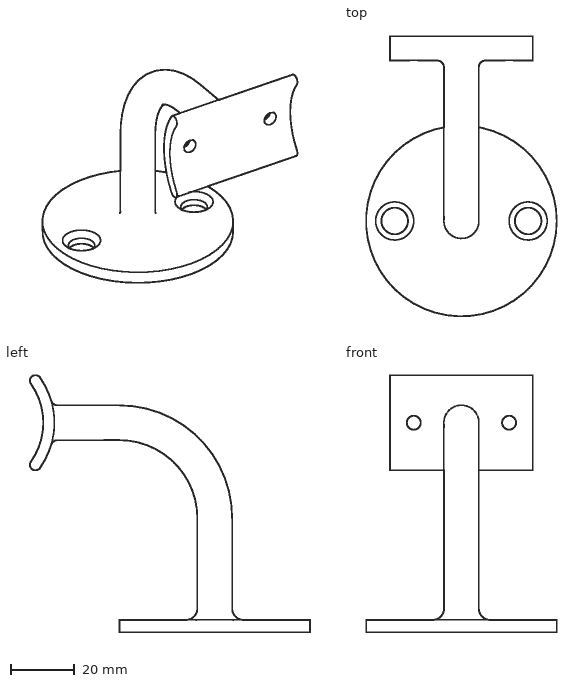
import cadquery as cq
import math

overall_depth = 88.2
overall_height = 80.9

plate_diameter = 60.0
plate_thickness = 4.0
screw_hole_diameter = 8.3
countersink_diameter = 12.0
countersink_angle = 90
screw_hole_spacing = 42.0

rod_diameter = 11.0
bend_radius = 30.0
base_fillet = 3.5
saddle_fillet = 2.0

saddle_length = 45.0
saddle_height = 30.0
saddle_thickness = 3.5
saddle_inner_radius = 21.2
saddle_hole_diameter = 4.3
saddle_hole_spacing = 30.0

saddle_z = overall_height - saddle_height / 2
saddle_tip_y = overall_depth - plate_diameter / 2
edge_radius = saddle_thickness / 2
middle_radius = saddle_inner_radius + edge_radius
saddle_outer_radius = saddle_inner_radius + saddle_thickness
half_chord = saddle_height / 2 - edge_radius
half_angle = math.asin(half_chord / middle_radius)
saddle_axis_y = saddle_tip_y - edge_radius + middle_radius * math.cos(half_angle)


def make_plate():
    return cq.Workplane("XY").circle(plate_diameter / 2).extrude(plate_thickness)


def make_rod():
    """Rod swept up from the plate, round the bend and into the saddle wall."""
    rod_end_y = saddle_axis_y - middle_radius
    bend_start_z = saddle_z - bend_radius
    bend_middle = (
        bend_radius * (1 - math.cos(math.pi / 4)),
        bend_start_z + bend_radius * math.sin(math.pi / 4),
    )
    path = (
        cq.Workplane("YZ")
        .moveTo(0, plate_thickness / 2)
        .lineTo(0, bend_start_z)
        .threePointArc(bend_middle, (bend_radius, saddle_z))
        .lineTo(rod_end_y, saddle_z)
    )
    profile = cq.Workplane("XY", origin=(0, 0, plate_thickness / 2)).circle(rod_diameter / 2)
    return profile.sweep(path)


def saddle_point(radius, angle):
    """Point in the YZ plane, at an angle from the -Y direction about the saddle axis."""
    return (saddle_axis_y - radius * math.cos(angle), saddle_z + radius * math.sin(angle))


def make_saddle():
    """Arc-shaped strip with rounded long edges, centred on X = 0."""
    tip_distance = math.hypot(middle_radius, edge_radius)
    tip_angle = half_angle + math.atan(edge_radius / middle_radius)
    return (
        cq.Workplane("YZ")
        .moveTo(*saddle_point(saddle_outer_radius, -half_angle))
        .threePointArc(
            saddle_point(saddle_outer_radius, 0),
            saddle_point(saddle_outer_radius, half_angle),
        )
        .threePointArc(
            saddle_point(tip_distance, tip_angle),
            saddle_point(saddle_inner_radius, half_angle),
        )
        .threePointArc(
            saddle_point(saddle_inner_radius, 0),
            saddle_point(saddle_inner_radius, -half_angle),
        )
        .threePointArc(
            saddle_point(tip_distance, -tip_angle),
            saddle_point(saddle_outer_radius, -half_angle),
        )
        .close()
        .extrude(saddle_length / 2, both=True)
    )


def edges_near_rod(body, low, high):
    """Edges of the body that lie wholly inside the box between two corners."""
    return body.edges(cq.selectors.BoxSelector(low, high, boundingbox=True))


def fillet_rod_ends(body):
    margin = 0.9
    reach = rod_diameter / 2 + margin
    base_joint = edges_near_rod(
        body,
        (-reach, -reach, plate_thickness - margin),
        (reach, reach, plate_thickness + margin),
    )
    body = base_joint.fillet(base_fillet)
    saddle_face_y = saddle_axis_y - saddle_outer_radius
    saddle_joint = edges_near_rod(
        body,
        (-reach, saddle_face_y - margin, saddle_z - reach),
        (reach, saddle_face_y + edge_radius, saddle_z + reach),
    )
    return saddle_joint.fillet(saddle_fillet)


def cut_screw_holes(body):
    half_spacing = screw_hole_spacing / 2
    return (
        body.copyWorkplane(cq.Workplane("XY", origin=(0, 0, plate_thickness)))
        .pushPoints([(-half_spacing, 0), (half_spacing, 0)])
        .cskHole(screw_hole_diameter, countersink_diameter, countersink_angle, plate_thickness)
    )


def cut_saddle_holes(body):
    half_spacing = saddle_hole_spacing / 2
    cutters = (
        cq.Workplane("XZ", origin=(0, saddle_axis_y, saddle_z))
        .pushPoints([(-half_spacing, 0), (half_spacing, 0)])
        .circle(saddle_hole_diameter / 2)
        .extrude(saddle_outer_radius + saddle_thickness)
    )
    return body.cut(cutters)


bracket = make_plate().union(make_rod()).union(make_saddle())
bracket = fillet_rod_ends(bracket)
bracket = cut_screw_holes(bracket)
result = cut_saddle_holes(bracket)